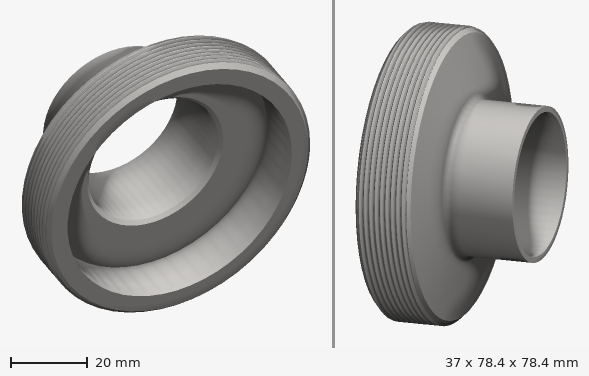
import cadquery as cq
import math

total_length = 37.0
tube_outer_radius = 20.5
tube_wall = 1.5
neck_start = 17.0
neck_fillet_radius = 2.0
cone_angle = math.radians(10)
thread_pitch = 1.5
thread_crest_radius = 39.21
flank_angle = math.radians(30)
crest_flat = thread_pitch / 8
root_flat = thread_pitch / 6
recess_radius = 33.0
bore_length = 22.4
bore_chamfer = 1.0

bore_radius = tube_outer_radius - tube_wall
thread_height = (thread_pitch - crest_flat - root_flat) / 2 / math.tan(flank_angle)
thread_root_radius = thread_crest_radius - thread_height
chamfer = thread_pitch
rim_radius = thread_crest_radius - chamfer
recess_floor = bore_length + bore_chamfer


def fillet_point(turn):
    """Point on the neck fillet after turning by the given angle from the tube surface."""
    x = neck_start + neck_fillet_radius * math.sin(turn)
    radius = tube_outer_radius + neck_fillet_radius * (1 - math.cos(turn))
    return x, radius


fillet_turn = math.pi / 2 - cone_angle
fillet_end = fillet_point(fillet_turn)
flange_start = fillet_end[0] + (rim_radius - fillet_end[1]) * math.tan(cone_angle)


def make_drum():
    """Plain drum at the thread root radius, long enough to carry the whole helix."""
    return cq.Workplane("YZ").circle(thread_root_radius).extrude(total_length + 2 * thread_pitch)


def make_thread():
    """Right-hand helical ridge that overruns both ends of the rim and sinks slightly into it."""
    sink = 0.1
    thread_start = 13.5 * thread_pitch
    turns = 12
    crest_half = crest_flat / 2
    sunk_radius = thread_root_radius - sink
    sunk_half = crest_half + (thread_crest_radius - sunk_radius) * math.tan(flank_angle)

    helix = cq.Wire.makeHelix(thread_pitch, turns * thread_pitch, thread_root_radius)
    return (
        cq.Workplane("XZ")
        .moveTo(sunk_radius, -sunk_half)
        .lineTo(thread_crest_radius, -crest_half)
        .lineTo(thread_crest_radius, crest_half)
        .lineTo(sunk_radius, sunk_half)
        .close()
        .sweep(cq.Workplane(helix), isFrenet=True)
        .rotate((0, 0, 0), (0, 1, 0), 90)
        .translate((thread_start, 0, 0))
    )


def make_envelope():
    """Turned shape: tube, filleted neck, conical flange, chamfered rim, bore and open recess."""
    clear_radius = thread_crest_radius + thread_pitch
    run_in = clear_radius - rim_radius
    return (
        cq.Workplane("XY")
        .moveTo(0, bore_radius)
        .lineTo(0, tube_outer_radius)
        .lineTo(neck_start, tube_outer_radius)
        .threePointArc(fillet_point(fillet_turn / 2), fillet_end)
        .lineTo(flange_start, rim_radius)
        .lineTo(flange_start + run_in, clear_radius)
        .lineTo(total_length - run_in, clear_radius)
        .lineTo(total_length, rim_radius)
        .lineTo(total_length, recess_radius)
        .lineTo(recess_floor, recess_radius)
        .lineTo(recess_floor, bore_radius + bore_chamfer)
        .lineTo(bore_length, bore_radius)
        .close()
        .revolve(360, (0, 0, 0), (1, 0, 0))
    )


threaded_drum = make_drum().union(make_thread())
result = threaded_drum.intersect(make_envelope())